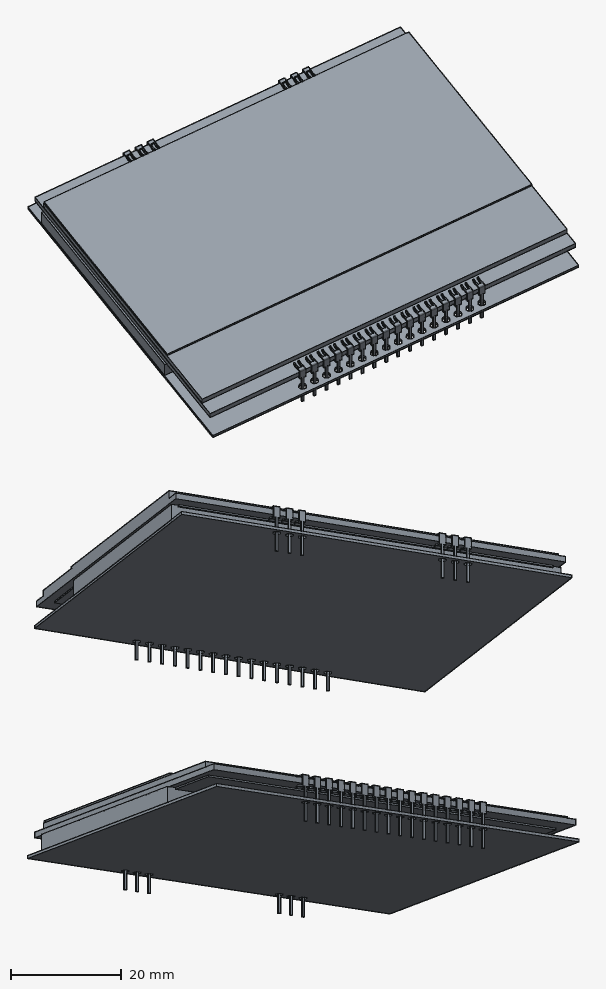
import cadquery as cq

BOARD_WIDTH = 64.0
BOARD_LENGTH = 77.65
TOTAL_LENGTH = 78.05
TOTAL_HEIGHT = 9.6
BOARD_THICKNESS = 0.55
BOARD_TOP = -0.8

LOWER_GLASS_LENGTH = 77.6
GLASS_THICKNESS = 1.1
LOWER_GLASS_WIDTH = 60.6
UPPER_GLASS_WIDTH = 54.8
FACE_STEP = 0.1
TOP_FILM_THICKNESS = 0.4
BOTTOM_FILM_THICKNESS = 0.3
BOTTOM_FILM_LEFT = -27.8
BOTTOM_FILM_RIGHT = 26.4
BOTTOM_FILM_LENGTH = 74.45

BACKLIGHT_WIDTH = 42.6

PIN_PITCH = 2.54
PIN_COUNT = 16
LEFT_PIN_INDICES = (0, 1, 2, 13, 14, 15)
PIN_WIDTH = 0.5
HOLE_DIAMETER = 1.4
METAL = 0.3
CLIP_WIDTH = 1.25
CLIP_REACH = 2.35
CLIP_OVERHANG = 0.55
CLIP_FLAT = 0.9
CLIP_TOUCH = 1.7
CLIP_CORNER = 0.15
SLOT_WIDTH = 0.6
SLOT_LENGTH = 1.5

TOP = TOTAL_HEIGHT / 2
PIN_TIP = -TOTAL_HEIGHT / 2
UPPER_GLASS_TOP = TOP - TOP_FILM_THICKNESS
LOWER_GLASS_TOP = UPPER_GLASS_TOP - GLASS_THICKNESS
LOWER_GLASS_BOTTOM = LOWER_GLASS_TOP - GLASS_THICKNESS
BOTTOM_FILM_BOTTOM = LOWER_GLASS_BOTTOM - BOTTOM_FILM_THICKNESS
GLASS_MIDDLE = (LOWER_GLASS_TOP + LOWER_GLASS_BOTTOM) / 2

UPPER_GLASS_LENGTH = LOWER_GLASS_LENGTH - FACE_STEP
TOP_FILM_LENGTH = UPPER_GLASS_LENGTH - FACE_STEP
BACKLIGHT_LENGTH = BOARD_LENGTH - 2 * FACE_STEP
LOWER_GLASS_Y = (TOTAL_LENGTH - LOWER_GLASS_LENGTH) / 2
UPPER_GLASS_Y = (TOTAL_LENGTH - UPPER_GLASS_LENGTH) / 2
TOP_FILM_Y = (TOTAL_LENGTH - TOP_FILM_LENGTH) / 2
BOARD_Y = -(TOTAL_LENGTH - BOARD_LENGTH) / 2
BACKLIGHT_LEFT = -UPPER_GLASS_WIDTH / 2
BACKLIGHT_RIGHT = BACKLIGHT_LEFT + BACKLIGHT_WIDTH
CLIP_OUTER_X = LOWER_GLASS_WIDTH / 2 + METAL
PIN_X = CLIP_OUTER_X - METAL / 2
PIN_YS = [(PIN_COUNT - 1) * PIN_PITCH / 2 - i * PIN_PITCH for i in range(PIN_COUNT)]
RIGHT_PINS = [(PIN_X, y) for y in PIN_YS]
LEFT_PINS = [(-PIN_X, PIN_YS[i]) for i in LEFT_PIN_INDICES]


def slab(x_min, x_max, length, y_center, z_bottom, z_top):
    """Rectangular plate between two X positions and two levels."""
    size = (x_max - x_min, length, z_top - z_bottom)
    center = ((x_min + x_max) / 2, y_center, (z_bottom + z_top) / 2)
    return cq.Workplane("XY").box(*size).translate(center)


def centered_slab(width, length, y_center, z_bottom, z_top):
    """Rectangular plate centred on X = 0."""
    return slab(-width / 2, width / 2, length, y_center, z_bottom, z_top)


def make_board():
    board = centered_slab(
        BOARD_WIDTH, BOARD_LENGTH, BOARD_Y, BOARD_TOP - BOARD_THICKNESS, BOARD_TOP
    )
    holes = (
        cq.Workplane("XY", origin=(0, 0, BOARD_TOP - BOARD_THICKNESS))
        .pushPoints(RIGHT_PINS + LEFT_PINS)
        .circle(HOLE_DIAMETER / 2)
        .extrude(BOARD_THICKNESS)
    )
    return board.cut(holes)


def make_display():
    layers = [
        centered_slab(LOWER_GLASS_WIDTH, LOWER_GLASS_LENGTH, LOWER_GLASS_Y,
                      LOWER_GLASS_BOTTOM, LOWER_GLASS_TOP),
        centered_slab(UPPER_GLASS_WIDTH, UPPER_GLASS_LENGTH, UPPER_GLASS_Y,
                      LOWER_GLASS_TOP, UPPER_GLASS_TOP),
        slab(BACKLIGHT_LEFT, BACKLIGHT_RIGHT, TOP_FILM_LENGTH, TOP_FILM_Y, UPPER_GLASS_TOP, TOP),
        slab(BOTTOM_FILM_LEFT, BOTTOM_FILM_RIGHT, BOTTOM_FILM_LENGTH, 0,
             BOTTOM_FILM_BOTTOM, LOWER_GLASS_BOTTOM),
        slab(BACKLIGHT_LEFT, BACKLIGHT_RIGHT, BACKLIGHT_LENGTH, BOARD_Y,
             BOARD_TOP, LOWER_GLASS_BOTTOM),
    ]
    display = layers[0]
    for layer in layers[1:]:
        display = display.union(layer)
    return display


def make_clip_pin():
    """Pin for the +X edge at Y = 0: fork around the glass edge and a straight leg."""
    arm_top = LOWER_GLASS_TOP + CLIP_OVERHANG
    flat_end = CLIP_OUTER_X - CLIP_FLAT
    touch = CLIP_OUTER_X - CLIP_TOUCH
    tip = CLIP_OUTER_X - CLIP_REACH
    upper_arm = (
        cq.Workplane("XZ")
        .moveTo(CLIP_OUTER_X, arm_top)
        .lineTo(flat_end, arm_top)
        .lineTo(touch, LOWER_GLASS_TOP + METAL)
        .lineTo(tip, arm_top)
        .lineTo(tip, arm_top - METAL)
        .lineTo(touch, LOWER_GLASS_TOP)
        .lineTo(flat_end, arm_top - METAL)
        .lineTo(CLIP_OUTER_X, arm_top - METAL)
        .close()
        .extrude(CLIP_WIDTH / 2, both=True)
    )
    lower_arm = upper_arm.mirror("XY", (0, 0, GLASS_MIDDLE))
    slot = slab(tip, tip + SLOT_LENGTH, SLOT_WIDTH, 0, LOWER_GLASS_TOP, arm_top)
    fingers = upper_arm.cut(slot)
    inner_face = CLIP_OUTER_X - METAL
    arm_bottom = LOWER_GLASS_BOTTOM - CLIP_OVERHANG
    back = slab(inner_face, CLIP_OUTER_X, CLIP_WIDTH, 0, arm_bottom, arm_top)
    leg = slab(inner_face, CLIP_OUTER_X, PIN_WIDTH, 0, PIN_TIP, GLASS_MIDDLE)
    clip = fingers.union(lower_arm).union(back)
    return clip.edges("|Y and >X and >Z").fillet(CLIP_CORNER).union(leg)


result = make_board().union(make_display())
right_pin = make_clip_pin()
left_pin = right_pin.mirror("YZ")
for _, y in RIGHT_PINS:
    result = result.union(right_pin.translate((0, y, 0)))
for _, y in LEFT_PINS:
    result = result.union(left_pin.translate((0, y, 0)))